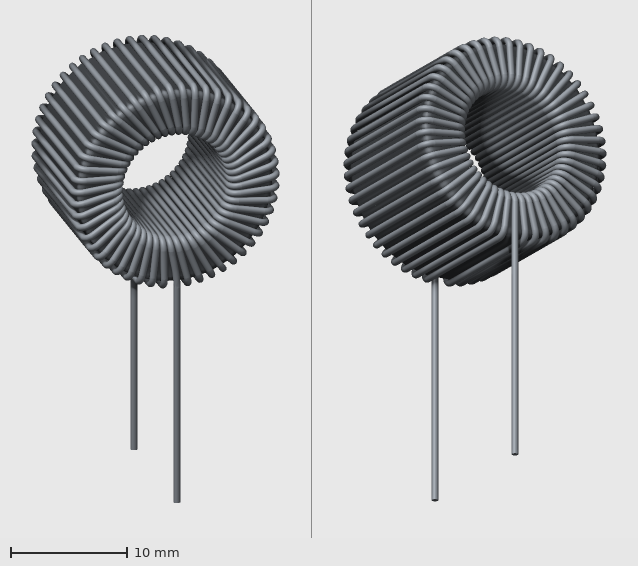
import cadquery as cq
import math


CORE_OUTER_DIAMETER = 17.5
CORE_BORE_DIAMETER = 10.5
CORE_LENGTH = 13.38
CORE_EDGE_FILLET = 0.5

WIRE_DIAMETER = 0.6
WIRE_CLEARANCE = 0.02
BORE_PASS_COUNT = 51
LEAD_END_Z = -28.745

WIRE_STANDOFF = WIRE_DIAMETER / 2 + WIRE_CLEARANCE
OUTER_PASS_RADIUS = CORE_OUTER_DIAMETER / 2 + WIRE_STANDOFF
BORE_PASS_RADIUS = CORE_BORE_DIAMETER / 2 - WIRE_STANDOFF
FACE_PASS_X = CORE_LENGTH / 2 + WIRE_STANDOFF
BEND_RADIUS = CORE_EDGE_FILLET + WIRE_STANDOFF
BEND_START_X = FACE_PASS_X - BEND_RADIUS

PITCH_ANGLE = 2 * math.pi / BORE_PASS_COUNT
LEAD_ANGLE = -math.pi / 2
DOWN = cq.Vector(0, 0, -1)


def ring_point(x, radius, turn):
    """Point at a given radius from the core axis, at the angle of a numbered turn."""
    angle = LEAD_ANGLE + turn * PITCH_ANGLE
    return cq.Vector(x, radius * math.cos(angle), radius * math.sin(angle))


def bend(start, face_direction, side):
    """Quarter-circle from a pass along X onto an end face; side is -1 or +1 along X."""
    axial = cq.Vector(side, 0, 0)
    arc_centre = start + face_direction * BEND_RADIUS
    middle = arc_centre + (axial - face_direction) * (BEND_RADIUS * math.sqrt(0.5))
    return start, middle, arc_centre + axial * BEND_RADIUS


def end_crossing(side, bore_turn, outer_turn):
    """Bore bend and outer bend of a crossing over an end face, both listed outward from the bore."""
    bore_end = ring_point(side * BEND_START_X, BORE_PASS_RADIUS, bore_turn)
    outer_end = ring_point(side * BEND_START_X, OUTER_PASS_RADIUS, outer_turn)
    face_direction = (outer_end - bore_end).normalized()
    bore_bend = bend(bore_end, face_direction, side)
    outer_bend = bend(outer_end, -face_direction, side)[::-1]
    return bore_bend, outer_bend


def bore_pass(turn):
    """Straight pass through the bore from -X to +X."""
    return cq.Edge.makeLine(
        ring_point(-BEND_START_X, BORE_PASS_RADIUS, turn),
        ring_point(BEND_START_X, BORE_PASS_RADIUS, turn),
    )


def return_pass(turn):
    """Slanting out of the previous turn at +X, back along the outside, radially in at -X."""
    bore_out, outer_out = end_crossing(1, turn - 1, turn)
    bore_back, outer_back = end_crossing(-1, turn, turn)
    return [
        cq.Edge.makeThreePointArc(*bore_out),
        cq.Edge.makeLine(bore_out[-1], outer_out[0]),
        cq.Edge.makeThreePointArc(*outer_out),
        cq.Edge.makeLine(outer_out[-1], outer_back[-1]),
        cq.Edge.makeThreePointArc(*outer_back[::-1]),
        cq.Edge.makeLine(outer_back[0], bore_back[-1]),
        cq.Edge.makeThreePointArc(*bore_back[::-1]),
    ]


def first_lead():
    """Lead at -X: straight up the end face and into the bore."""
    bore_bend, _ = end_crossing(-1, 0, 0)
    return [
        cq.Edge.makeLine(cq.Vector(-FACE_PASS_X, 0, LEAD_END_Z), bore_bend[-1]),
        cq.Edge.makeThreePointArc(*bore_bend[::-1]),
    ]


def last_lead():
    """Lead at +X: out of the last bore pass, easing over to the mid-plane Y = 0, then straight down."""
    bore_bend, outer_bend = end_crossing(1, BORE_PASS_COUNT - 1, BORE_PASS_COUNT)
    slant = (outer_bend[0] - bore_bend[-1]).normalized()
    lead_top = cq.Vector(FACE_PASS_X, 0, -OUTER_PASS_RADIUS)
    return [
        cq.Edge.makeThreePointArc(*bore_bend),
        cq.Edge.makeSpline([bore_bend[-1], lead_top], tangents=[slant, DOWN]),
        cq.Edge.makeLine(lead_top, cq.Vector(FACE_PASS_X, 0, LEAD_END_Z)),
    ]


def winding_path():
    """Centreline of the whole wire, from the end of the -X lead to the end of the +X lead."""
    edges = first_lead()
    edges.append(bore_pass(0))
    for turn in range(1, BORE_PASS_COUNT):
        edges += return_pass(turn)
        edges.append(bore_pass(turn))
    edges += last_lead()
    return cq.Wire.assembleEdges(edges)


def make_core():
    return (
        cq.Workplane("YZ", origin=(-CORE_LENGTH / 2, 0, 0))
        .circle(CORE_OUTER_DIAMETER / 2)
        .circle(CORE_BORE_DIAMETER / 2)
        .extrude(CORE_LENGTH)
        .faces("<X or >X")
        .edges()
        .fillet(CORE_EDGE_FILLET)
    )


def make_winding():
    return (
        cq.Workplane("XY", origin=(-FACE_PASS_X, 0, LEAD_END_Z))
        .circle(WIRE_DIAMETER / 2)
        .sweep(winding_path())
    )


core = make_core()
winding = make_winding()

result = cq.Compound.makeCompound([core.val(), winding.val()])